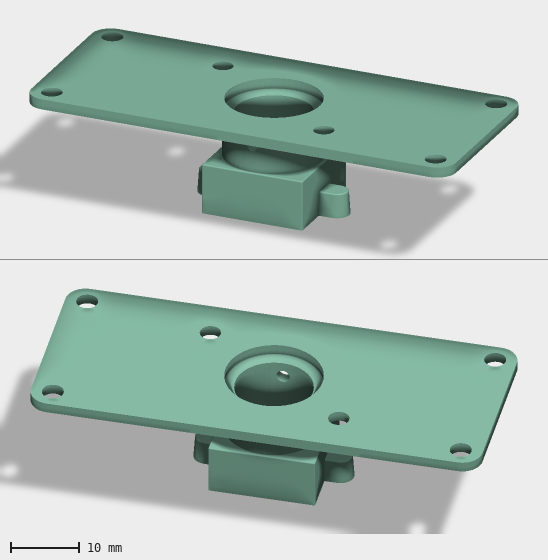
import cadquery as cq

total_height = 16.5
plate_thickness = 1.6
plate_bottom = total_height - plate_thickness

plate_length = 67.5
plate_width = 28.0
plate_corner_radius = 3.0
plate_bore_diameter = 14.5
corner_hole_diameter = 3.2
corner_hole_spacing_x = 61.0
corner_hole_spacing_y = 22.0
inner_hole_diameter = 3.1
inner_hole_points = [(-11.5, 7.75), (11.35, -7.85)]

base_side = 16.0
base_height = 7.75
base_edge_fillet = 0.2
barrel_diameter = 15.2
barrel_edge_chamfer = 0.2
bore_diameter = 11.6
bore_mouth_diameter = 14.1
bore_mouth_depth = 0.5
ear_center_x = 10.0
ear_width = 4.0
ear_height = 3.7
ear_draft_angle = 4.0
ear_top_fillet = 0.2
set_screw_hole_diameter = 2.0
set_screw_hole_height = 12.0


def make_plate():
    """Rounded plate with a central bore, four corner holes and two inner holes."""
    return (
        cq.Workplane("XY", origin=(0, 0, plate_bottom))
        .rect(plate_length, plate_width)
        .extrude(plate_thickness)
        .edges("|Z")
        .fillet(plate_corner_radius)
        .faces(">Z")
        .workplane()
        .hole(plate_bore_diameter)
        .faces(">Z")
        .workplane()
        .rect(corner_hole_spacing_x, corner_hole_spacing_y, forConstruction=True)
        .vertices()
        .hole(corner_hole_diameter)
        .faces(">Z")
        .workplane()
        .pushPoints(inner_hole_points)
        .hole(inner_hole_diameter)
    )


def make_base():
    """Square block with its upright and top edges lightly rounded."""
    return (
        cq.Workplane("XY")
        .rect(base_side, base_side)
        .extrude(base_height)
        .edges("|Z or >Z")
        .fillet(base_edge_fillet)
    )


def make_ears():
    """One round-ended, tapered bar through the base, whose ends form both ears."""
    return (
        cq.Workplane("XY")
        .slot2D(2 * ear_center_x + ear_width, ear_width)
        .extrude(ear_height, taper=ear_draft_angle)
        .faces(">Z")
        .edges()
        .fillet(ear_top_fillet)
    )


def make_barrel():
    """Round barrel reaching from the base plane up to the plate."""
    return (
        cq.Workplane("XY")
        .circle(barrel_diameter / 2)
        .extrude(plate_bottom)
        .faces(">Z")
        .edges()
        .chamfer(barrel_edge_chamfer)
    )


def make_bore():
    """Through bore that flares into a conical mouth at the top of the barrel."""
    bore_radius = bore_diameter / 2
    return (
        cq.Workplane("XZ")
        .lineTo(bore_radius, 0)
        .lineTo(bore_radius, plate_bottom - bore_mouth_depth)
        .lineTo(bore_mouth_diameter / 2, plate_bottom)
        .lineTo(0, plate_bottom)
        .close()
        .revolve(360, (0, 0, 0), (0, 1, 0))
    )


def make_set_screw_hole():
    """Radial hole through the -Y wall of the barrel, ending in the bore."""
    return (
        cq.Workplane("XZ", origin=(0, 0, set_screw_hole_height))
        .circle(set_screw_hole_diameter / 2)
        .extrude(barrel_diameter)
    )


def make_holder():
    """Base, ears and barrel in one piece, with the bore and screw hole removed."""
    blank = make_base().union(make_ears()).union(make_barrel())
    return blank.cut(make_bore()).cut(make_set_screw_hole())


plate = make_plate()
holder = make_holder()

result = cq.Compound.makeCompound([plate.val(), holder.val()])